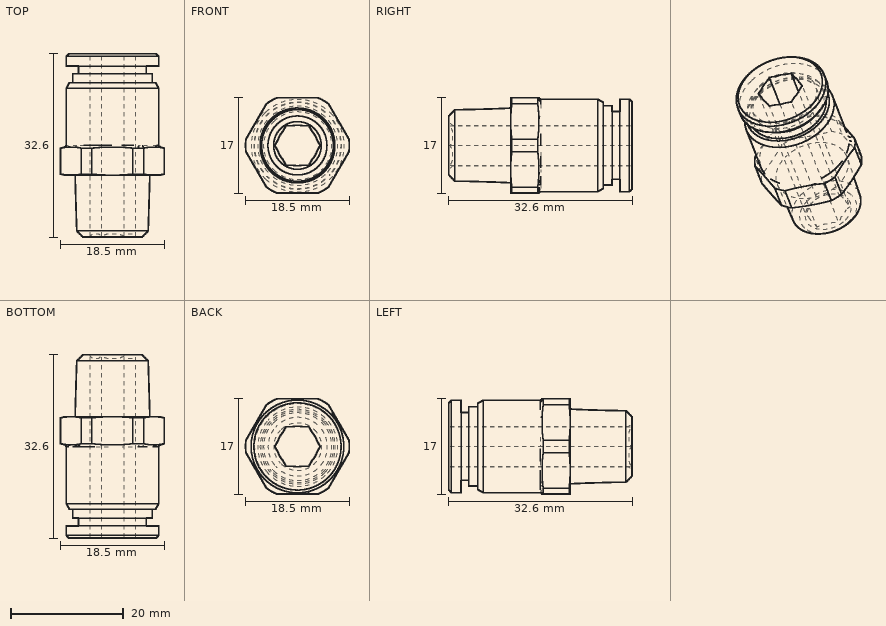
import cadquery as cq
import math


tip_dia = 10.5
thread_small_dia = 12.75
thread_large_dia = 13.33
tip_chamfer_length = 1.1

hex_across_flats = 17.0
hex_corner_dia = 18.5
hex_start = 11.02
hex_length = 5.0
hex_chamfer_length = 0.2

barrel_dia = 16.5
barrel_fillet = 0.33
barrel_end = 27.48
barrel_chamfer_length = 1.05
barrel_chamfer_depth = 0.6

collar_dia = 14.15
collar_end = 29.05
neck_dia = 12.1
neck_end = 30.4
flange_dia = 16.5
flange_chamfer = 0.5
total_length = 32.6

socket_across_flats = 6.98
round_bore_dia = 7.17
bore_mouth_dia = 8.48
bore_mouth_cone_depth = 0.65


def hex_prism(across_flats, length):
    """Hexagonal bar along +Y from Y = 0, with flats facing +Z and -Z."""
    corner_circle_dia = across_flats / math.cos(math.pi / 6)
    bar = cq.Workplane("XY").polygon(6, corner_circle_dia).extrude(length)
    return bar.rotate((0, 0, 0), (1, 0, 0), -90)


def turned_body():
    """Solid of revolution carrying every outer step, groove and chamfer."""
    hex_end = hex_start + hex_length
    flat_radius = hex_across_flats / 2
    corner_radius = hex_corner_dia / 2
    barrel_radius = barrel_dia / 2
    flange_radius = flange_dia / 2
    fillet_centre_radius = barrel_radius + barrel_fillet
    fillet_centre_y = hex_end + barrel_fillet
    fillet_mid_offset = barrel_fillet * math.sqrt(0.5)

    profile = (
        cq.Workplane("XY")
        .lineTo(tip_dia / 2, 0)
        .lineTo(thread_small_dia / 2, tip_chamfer_length)
        .lineTo(thread_large_dia / 2, hex_start)
        .lineTo(flat_radius, hex_start)
        .lineTo(corner_radius, hex_start + hex_chamfer_length)
        .lineTo(corner_radius, hex_end - hex_chamfer_length)
        .lineTo(fillet_centre_radius, hex_end)
        .threePointArc(
            (fillet_centre_radius - fillet_mid_offset, fillet_centre_y - fillet_mid_offset),
            (barrel_radius, fillet_centre_y),
        )
        .lineTo(barrel_radius, barrel_end - barrel_chamfer_length)
        .lineTo(barrel_radius - barrel_chamfer_depth, barrel_end)
        .lineTo(collar_dia / 2, barrel_end)
        .lineTo(collar_dia / 2, collar_end)
        .lineTo(neck_dia / 2, collar_end)
        .lineTo(neck_dia / 2, neck_end)
        .lineTo(flange_radius, neck_end)
        .lineTo(flange_radius, total_length - flange_chamfer)
        .lineTo(flange_radius - flange_chamfer, total_length)
        .lineTo(0, total_length)
        .close()
    )
    return profile.revolve(360, (0, 0, 0), (0, 1, 0))


def bore():
    """Through hole: hexagonal socket, round relief and conical mouth at the tip."""
    socket = hex_prism(socket_across_flats, total_length)
    relief = cq.Workplane("XZ").circle(round_bore_dia / 2).extrude(-total_length)
    mouth_radius = bore_mouth_dia / 2
    mouth = (
        cq.Workplane("XY")
        .lineTo(mouth_radius, 0)
        .lineTo(round_bore_dia / 2, bore_mouth_cone_depth)
        .lineTo(0, bore_mouth_cone_depth)
        .close()
        .revolve(360, (0, 0, 0), (0, 1, 0))
    )
    return socket.union(relief).union(mouth)


result = turned_body().intersect(hex_prism(hex_across_flats, total_length)).cut(bore())